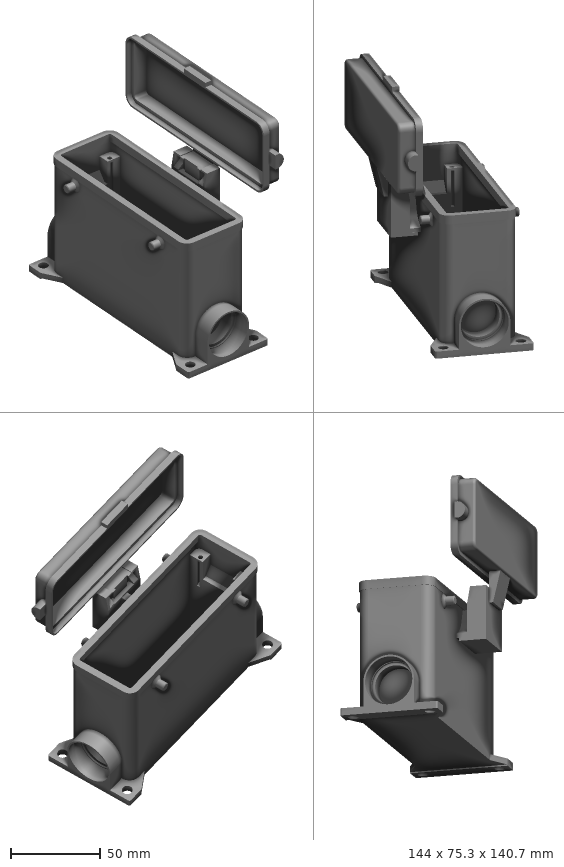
import cadquery as cq


collar_length = 122.3
collar_width = 44.4
body_length = 122.0
body_width = 43.8
body_height = 80.0
collar_bottom = 74.9
body_bottom = 0.7
collar_radius = 6.0
body_radius = 6.5
wall_thickness = 4.2
floor_top = 4.3
mouth_radius = 1.5
cavity_length = 114.0
cavity_width = 38.6
cavity_radius = 3.3

foot_span = 144.0
foot_width = 57.0
foot_top = 4.2
foot_taper_end = 49.1
foot_corner_radius = 1.2
mount_hole_x = 66.1
mount_hole_y = 22.5
mount_hole_diameter = 6.0
spout_radius = 14.8
spout_height = 18.1
bore_radius = 13.8
bore_depth = 10.8
seat_radius = 13.4
seat_depth = 12.0
knockout_radius = 11.7
knockout_depth = 20.2

column_face = 49.7
column_inner_y = 10.4
column_top = 68.1
screw_x = 51.8
screw_y = 13.5
screw_diameter = 2.9
screw_depth = 23.0
screw_slot_width = 2.0
screw_slot_drop = 1.5
block_ledge_x = 52.5
block_ledge_top = 53.3
block_wall_top = 59.0

stud_x = 38.2
stud_height = 70.7
stud_radius = 2.6
stud_reach = 28.5
stud_chamfer = 0.5
stud_base_radius = 4.3
stud_base_reach = 23.3

cover_center_z = 114.8
cover_front = 33.0
cover_back = 46.8
rim_back = 37.2
rim_length = 124.3
rim_height = 46.1
rim_radius = 6.3
cap_length = 119.5
cap_height = 41.8
cap_radius = 4.3
cap_edge_radius = 1.6
seal_length = 121.8
seal_height = 43.8
seal_radius = 5.2
seal_back = 36.3
opening_length = 117.0
opening_height = 38.9
opening_radius = 2.3
opening_back = 45.0
tab_width = 19.5
part_height = 140.7
lug_span = 134.8
lug_radius = 4.8
lug_axis_y = 38.5
lug_axis_z = 115.0

arm_width = 18.1
arm_front = 39.2
arm_tip_back = 41.6
arm_tip_z = 75.9
arm_root_back = 46.0
bracket_width = 30.0
bracket_top = 84.5
bracket_bottom = 53.4
bracket_back = 39.3
bracket_top_front = 30.0
bracket_front = 28.2
bracket_slope_end = 74.7
bracket_lip_front = 23.6
bracket_lip_top = 55.2
bracket_notch_depth = 0.6
plate_half_width = 6.0
plate_front = 30.8
plate_side_front = 32.0
plate_ledge = 75.2
pocket_outer_x = 13.1
pocket_top = 83.5
pocket_back = 34.5
pocket_back_bottom = 80.6
pocket_front_bottom = 75.6
mount_width = 29.4
hub_top = 74.3


def rounded_block(length, width, bottom, top, radius):
    """Upright block centred on the Z axis, with rounded vertical edges."""
    block = cq.Workplane("XY").workplane(offset=bottom).rect(length, width).extrude(top - bottom)
    return block.edges("|Z").fillet(radius)


def cover_block(length, height, radius, front, back):
    """Block centred on the cover, with its rounded edges along Y."""
    middle = (front + back) / 2
    block = cq.Workplane("XY").box(length, back - front, height)
    return block.edges("|Y").fillet(radius).translate((0, middle, cover_center_z))


def box_between(x0, x1, y0, y1, z0, z1):
    """Axis-aligned box given by its limits."""
    return cq.Workplane("XY").box(x1 - x0, y1 - y0, z1 - z0, centered=False).translate((x0, y0, z0))


def side_profile(points, x_start, x_end):
    """Extrude a (Y, Z) outline along X."""
    outline = cq.Workplane("YZ").workplane(offset=x_start).polyline(points).close()
    return outline.extrude(x_end - x_start)


def x_cylinder(radius, y, z, x_start, x_end):
    """Cylinder along X."""
    circle = cq.Workplane("YZ").workplane(offset=x_start).center(y, z).circle(radius)
    return circle.extrude(x_end - x_start)


def both_ends(shape):
    """Shape together with its copy at the other X end."""
    return shape.union(shape.mirror("YZ"))


def both_sides(shape):
    """Shape together with its copy on the other Y side."""
    return shape.union(shape.mirror("XZ"))


def make_shell():
    shell = rounded_block(body_length, body_width, body_bottom, collar_bottom, body_radius)
    return shell.union(rounded_block(collar_length, collar_width, collar_bottom, body_height, collar_radius))


def make_cavity():
    length = collar_length - 2 * wall_thickness
    width = collar_width - 2 * wall_thickness
    upper = rounded_block(length, width, collar_bottom, body_height, mouth_radius)
    return upper.union(rounded_block(cavity_length, cavity_width, floor_top, collar_bottom, cavity_radius))


def make_foot():
    """Foot at the +X end: an end pad and a thin web slanting back to the housing side."""
    half_span = foot_span / 2
    half_length = body_length / 2
    half_width = foot_width / 2
    pad = box_between(half_length, half_span, -half_width, half_width, 0, foot_top)
    pad = pad.edges("|Z and >X").fillet(foot_corner_radius)
    web_outline = [
        (half_length, -half_width),
        (half_length, half_width),
        (foot_taper_end, body_width / 2),
        (foot_taper_end, -body_width / 2),
    ]
    web = cq.Workplane("XY").workplane(offset=body_bottom).polyline(web_outline).close()
    return pad.union(web.extrude(foot_top - body_bottom))


def make_spout():
    """Solid cable spout at the +X end, round above and straight-sided below."""
    start = column_face + wall_thickness
    end = foot_span / 2
    base = box_between(start, end, -spout_radius, spout_radius, body_bottom, spout_height)
    return base.union(x_cylinder(spout_radius, 0, spout_height, start, end))


def make_spout_bore():
    """Stepped blind bore of the +X spout."""
    mouth = foot_span / 2
    bore = x_cylinder(bore_radius, 0, spout_height, mouth - bore_depth, mouth)
    bore = bore.union(x_cylinder(seat_radius, 0, spout_height, mouth - seat_depth, mouth))
    return bore.union(x_cylinder(knockout_radius, 0, spout_height, mouth - knockout_depth, mouth))


def make_end_fill():
    """Two screw columns and the sloped block between them, at the +X end of the cavity."""
    cavity_end = cavity_length / 2
    cavity_side = cavity_width / 2
    column = box_between(column_face, cavity_end, column_inner_y, cavity_side, floor_top, column_top)
    screw_bottom = column_top - screw_depth
    hole = cq.Workplane("XY").workplane(offset=screw_bottom).center(screw_x, screw_y)
    column = column.cut(hole.circle(screw_diameter / 2).extrude(screw_depth))
    slot = box_between(
        column_face,
        screw_x,
        screw_y - screw_slot_width / 2,
        screw_y + screw_slot_width / 2,
        screw_bottom,
        column_top - screw_slot_drop,
    )
    column = column.cut(slot)

    block_outline = [
        (column_face, floor_top),
        (cavity_end, floor_top),
        (cavity_end, block_wall_top),
        (block_ledge_x, block_ledge_top),
        (column_face, block_ledge_top),
    ]
    block = cq.Workplane("XZ").polyline(block_outline).close().extrude(column_inner_y, both=True)
    return both_sides(column).union(block)


def make_stud():
    """Locking stud with a conical base on the +X, -Y quarter of the housing."""
    wall = body_width / 2
    root = wall - wall_thickness / 2
    profile = [
        (0, root),
        (stud_base_radius, root),
        (stud_base_radius, wall),
        (stud_radius, stud_base_reach),
        (stud_radius, stud_reach - stud_chamfer),
        (stud_radius - stud_chamfer, stud_reach),
        (0, stud_reach),
    ]
    stud = cq.Workplane("XY").polyline(profile).close().revolve(360, (0, 0, 0), (0, 1, 0))
    return stud.mirror("XZ").translate((stud_x, 0, stud_height))


def make_housing():
    housing = make_shell().cut(make_cavity())
    housing = housing.union(both_ends(make_end_fill()))
    housing = housing.union(both_ends(make_foot().union(make_spout())))
    housing = housing.cut(both_ends(make_spout_bore()))
    mount_holes = (
        cq.Workplane("XY")
        .rect(2 * mount_hole_x, 2 * mount_hole_y, forConstruction=True)
        .vertices()
        .circle(mount_hole_diameter / 2)
        .extrude(foot_top)
    )
    return housing.cut(mount_holes).union(both_ends(both_sides(make_stud())))


def make_cover():
    cap = cover_block(cap_length, cap_height, cap_radius, cover_front, cover_back)
    cap = cap.faces(">Y").edges().fillet(cap_edge_radius)
    cover = cap.union(cover_block(rim_length, rim_height, rim_radius, cover_front, rim_back))
    tab = box_between(-tab_width / 2, tab_width / 2, cover_front, rim_back, cover_center_z, part_height)
    lug = x_cylinder(lug_radius, lug_axis_y, lug_axis_z, -lug_span / 2, lug_span / 2)
    lug_trim = box_between(
        -lug_span / 2, lug_span / 2, cover_front, rim_back, lug_axis_z - lug_radius, lug_axis_z + lug_radius
    )
    cover = cover.union(tab).union(lug.cut(lug_trim))
    cover = cover.cut(cover_block(seal_length, seal_height, seal_radius, cover_front, seal_back))
    return cover.cut(
        cover_block(opening_length, opening_height, opening_radius, cover_front, opening_back)
    )


def make_arm():
    """Tapered arm hanging from the cover onto the back of the bracket."""
    root_z = cover_center_z - opening_height / 2
    cap_bottom = cover_center_z - cap_height / 2
    outline = [
        (arm_front, arm_tip_z),
        (arm_tip_back, arm_tip_z),
        (arm_root_back, cap_bottom),
        (arm_root_back - cap_edge_radius, root_z),
        (arm_front, root_z),
    ]
    return side_profile(outline, -arm_width / 2, arm_width / 2)


def make_bracket():
    """Hinge bracket with a lowered, set-back middle and an open pocket on each side of it."""
    half_width = bracket_width / 2
    outline = [
        (bracket_back, bracket_bottom),
        (bracket_back, bracket_top),
        (bracket_top_front, bracket_top),
        (bracket_front, bracket_slope_end),
        (bracket_front, bracket_lip_top),
        (bracket_lip_front, bracket_lip_top),
        (bracket_lip_front, bracket_bottom),
    ]
    bracket = side_profile(outline, -half_width, half_width)
    notch = box_between(
        -arm_width / 2,
        arm_width / 2,
        bracket_lip_front,
        bracket_back,
        bracket_top - bracket_notch_depth,
        bracket_top,
    )
    pocket_outline = [
        (bracket_front, pocket_top),
        (pocket_back, pocket_top),
        (pocket_back, pocket_back_bottom),
        (bracket_front, pocket_front_bottom),
    ]
    half_arm = arm_width / 2
    pocket = side_profile(pocket_outline, half_arm, pocket_outer_x)
    plate_relief = box_between(
        -plate_half_width, plate_half_width, bracket_front, plate_front, plate_ledge, bracket_top
    )
    side_relief = box_between(
        plate_half_width, half_arm, bracket_front, plate_side_front, plate_ledge, pocket_top
    )
    bracket = bracket.cut(notch).cut(plate_relief)
    return bracket.cut(both_ends(pocket)).cut(both_ends(side_relief))


def make_bracket_mount():
    """Bell-shaped pad joining the bracket to the back wall of the housing."""
    half_width = mount_width / 2
    toe_top = 57.7
    shoulder = (10.7, 60.0)
    flare_middle = (7.8, 62.2)
    neck = (5.5, 66.0)
    hub_half_width = 2.5
    half = (
        cq.Workplane("XZ", origin=(0, bracket_front, 0))
        .moveTo(0, bracket_lip_top)
        .lineTo(half_width, bracket_lip_top)
        .lineTo(half_width, toe_top)
        .lineTo(*shoulder)
        .threePointArc(flare_middle, neck)
        .lineTo(hub_half_width, hub_top)
        .lineTo(0, hub_top)
        .close()
        .extrude(bracket_front - body_width / 2 + wall_thickness / 2)
    )
    return both_ends(half)


hinge = make_arm().union(make_bracket()).union(make_bracket_mount())
result = make_housing().union(make_cover()).union(hinge)